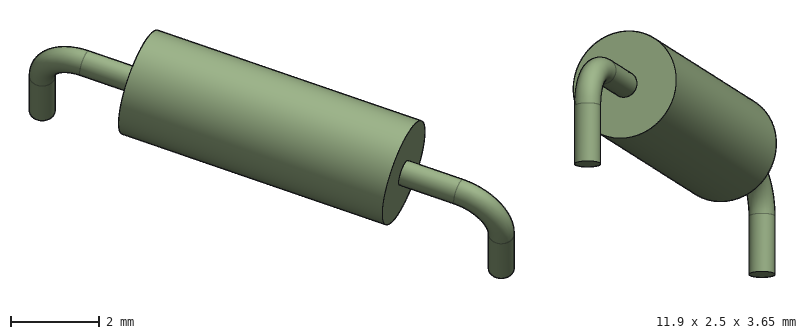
import cadquery as cq

overall_length = 11.9
body_diameter = 2.5
body_length = 6.5
lead_diameter = 0.6
bend_radius = 1.05
lead_drop = 2.4

lead_spacing = overall_length - lead_diameter


def make_body():
    """Plain cylinder centred on the origin."""
    return (
        cq.Workplane("YZ")
        .workplane(offset=-body_length / 2)
        .circle(body_diameter / 2)
        .extrude(body_length)
    )


def make_lead(side):
    """Round wire from a body end face, bent down; side is -1 or +1 along X."""
    face_x = side * body_length / 2
    tip_x = side * lead_spacing / 2
    bend_start_x = tip_x - side * bend_radius
    path = (
        cq.Workplane("XZ")
        .moveTo(face_x, 0)
        .lineTo(bend_start_x, 0)
        .tangentArcPoint((tip_x, -bend_radius), relative=False)
        .lineTo(tip_x, -lead_drop)
    )
    return (
        cq.Workplane("YZ", origin=(face_x, 0, 0))
        .circle(lead_diameter / 2)
        .sweep(path)
    )


body = make_body()
leads = [make_lead(side) for side in (-1, 1)]

result = cq.Compound.makeCompound([body.val(), *[lead.val() for lead in leads]])